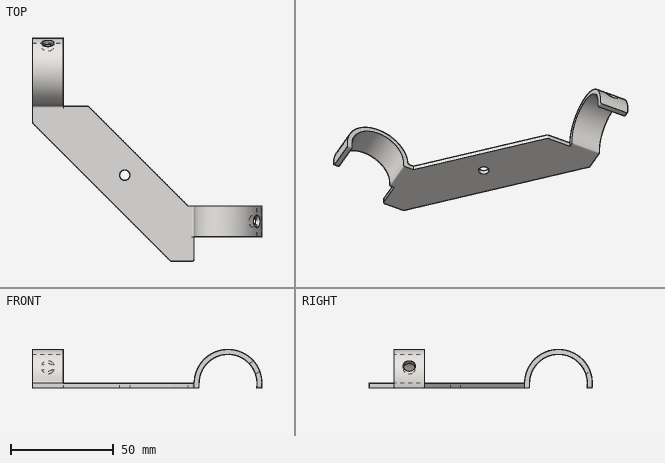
import cadquery as cq
import math

length_x = 111.44
length_y = 108.44
height = 18.9

thickness = 2.5
outer_radius = 16.5
inner_radius = outer_radius - thickness
axis_height = height - outer_radius
clip_width = 15.0
bend_radius = 1.0
bend_edge_radius = 0.8
corner_radius = 1.0

plate_x = length_x - 2 * outer_radius
plate_y = length_y - 2 * outer_radius
side_clip_bottom = 12.0
side_clip_top = side_clip_bottom + clip_width
lower_cut = 67.2
upper_cut = 102.5

plate_hole_diameter = 4.9
plate_hole_x = 44.8
plate_hole_y = 41.9
clip_hole_diameter = 5.9
clip_hole_angle = 31.0


def make_plate():
    """Flat plate with two diagonal edges and rounded corners."""
    outline = [
        (0, lower_cut),
        (lower_cut, 0),
        (plate_x, 0),
        (plate_x, side_clip_top),
        (upper_cut - side_clip_top, side_clip_top),
        (upper_cut - plate_y, plate_y),
        (0, plate_y),
    ]
    plate = cq.Workplane("XY").polyline(outline).close().extrude(thickness)
    rounded_corners = [
        (0, lower_cut),
        (lower_cut, 0),
        (plate_x, 0),
        (upper_cut - plate_y, plate_y),
    ]
    for x, y in rounded_corners:
        corner = cq.selectors.NearestToPointSelector((x, y, thickness / 2))
        plate = plate.edges(corner).fillet(corner_radius)
    hole = (
        cq.Workplane("XY")
        .center(plate_hole_x, plate_hole_y)
        .circle(plate_hole_diameter / 2)
        .extrude(thickness)
    )
    return plate.cut(hole)


def make_clip():
    """Half-round clip, open downwards, with its outer wall on the plate edge at x = 0."""
    centre_x = outer_radius
    outer_end_x = centre_x + math.sqrt(outer_radius**2 - axis_height**2)
    inner_end_x = centre_x + math.sqrt(inner_radius**2 - axis_height**2)

    fillet_height = thickness + bend_radius
    fillet_rise = fillet_height - axis_height
    fillet_reach = outer_radius + bend_radius
    fillet_x = centre_x - math.sqrt(fillet_reach**2 - fillet_rise**2)
    touch_x = centre_x + (fillet_x - centre_x) * outer_radius / fillet_reach
    touch_z = axis_height + fillet_rise * outer_radius / fillet_reach
    fillet_diagonal = bend_radius / math.sqrt(2)

    clip = (
        cq.Workplane("XZ")
        .moveTo(fillet_x, 0)
        .lineTo(fillet_x, thickness)
        .threePointArc(
            (fillet_x + fillet_diagonal, fillet_height - fillet_diagonal),
            (touch_x, touch_z),
        )
        .threePointArc((centre_x, height), (outer_end_x, 0))
        .lineTo(inner_end_x, 0)
        .threePointArc((centre_x, axis_height + inner_radius), (thickness, axis_height))
        .lineTo(thickness, bend_edge_radius)
        .radiusArc((thickness - bend_edge_radius, 0), bend_edge_radius)
        .close()
        .extrude(-clip_width)
    )
    for y in (0, clip_width):
        corner = cq.selectors.NearestToPointSelector(((outer_end_x + inner_end_x) / 2, y, 0))
        clip = clip.edges(corner).fillet(corner_radius)

    angle = math.radians(clip_hole_angle)
    drill = cq.Solid.makeCylinder(
        clip_hole_diameter / 2,
        2 * outer_radius,
        cq.Vector(centre_x, clip_width / 2, axis_height),
        cq.Vector(math.cos(angle), 0, math.sin(angle)),
    )
    return clip.cut(cq.Workplane(drill))


clip = make_clip()
side_clip = clip.translate((plate_x, side_clip_bottom, 0))
end_clip = clip.rotate((0, 0, 0), (0, 0, 1), 90).translate((clip_width, plate_y, 0))
result = make_plate().union(side_clip).union(end_clip)